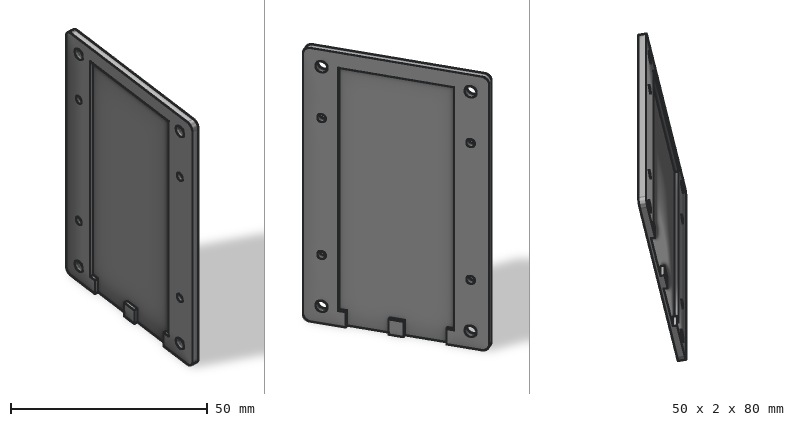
import cadquery as cq

width = 50.0
height = 80.0
thickness = 2.0
corner_radius = 2.0

pocket_width = 31.0
pocket_depth = 1.0
border = 4.5
block_overhang = 2.0
opening_width = pocket_width - 2 * block_overhang
tab_width = 4.0

large_hole_diameter = 3.2
large_hole_spacing_x = 40.0
large_hole_spacing_z = 70.0
small_hole_diameter = 2.2
small_hole_spacing = 40.0


def front_block(block_width, block_height, bottom, depth):
    """Box centred on X that reaches back from the front face."""
    return (
        cq.Workplane("XY")
        .box(block_width, depth, block_height, centered=(True, False, False))
        .translate((0, -thickness / 2, bottom))
    )


def hole_pattern(diameter, spacing_x, spacing_z):
    """Four through holes on the corners of a centred rectangle."""
    return (
        cq.Workplane("XZ")
        .rect(spacing_x, spacing_z, forConstruction=True)
        .vertices()
        .circle(diameter / 2)
        .extrude(thickness, both=True)
    )


plate = cq.Workplane("XY").box(width, thickness, height).edges("|Y").fillet(corner_radius)

bottom_edge = -height / 2
pocket = front_block(pocket_width, height - 2 * border, bottom_edge + border, pocket_depth)
opening = front_block(opening_width, border, bottom_edge, pocket_depth)
tab = front_block(tab_width, border, bottom_edge, pocket_depth)

result = (
    plate.cut(pocket)
    .cut(opening.cut(tab))
    .cut(hole_pattern(large_hole_diameter, large_hole_spacing_x, large_hole_spacing_z))
    .cut(hole_pattern(small_hole_diameter, small_hole_spacing, small_hole_spacing))
)